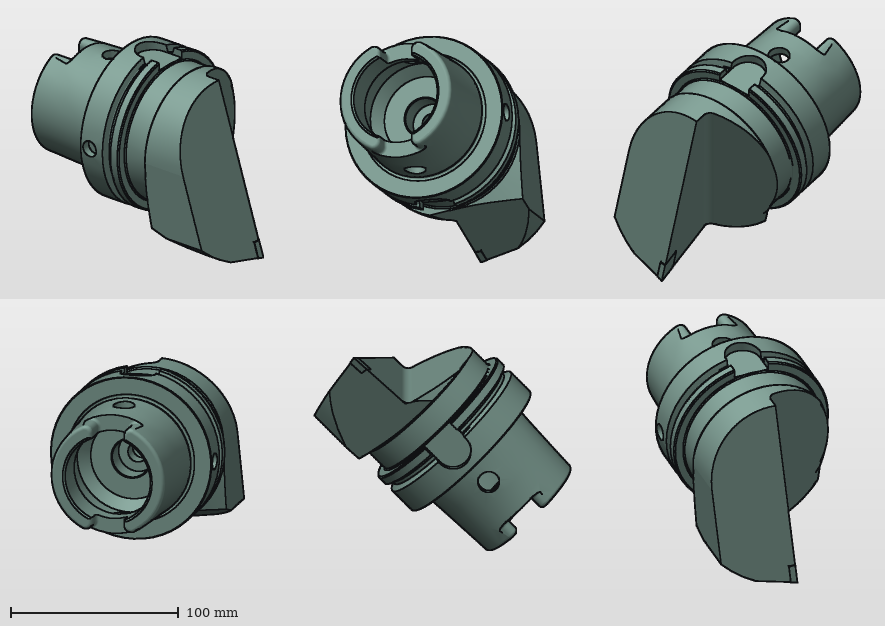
import cadquery as cq
import math

shank_length = 50.0
shank_radius = 37.75
shank_taper = 1 / 20
shank_end_round = 2.2

shank_land = 2.6
undercut_x = -0.2
undercut_centre_radius = 38.2
undercut_round = 1.3

flange_radius = 50.0
flange_width = 29.0
flange_front_chamfer = 0.4
flange_back_chamfer = 0.8
groove_centre = 20.0
groove_floor_radius = 46.0
groove_floor_width = 3.4
groove_mouth_width = 6.2
groove_floor_round = 0.8

neck_radius = 43.5
neck_round = 0.8
head_start = 45.0
neck_flare_length = 0.9
blade_half = 44.5
blade_sweep_radius = 63.2
root_radius = 49.0
root_slope = math.radians(5)

nose_x = 99.9
nose_z = -63.0
nose_radius = 0.4
insert_angle = 55.0
clearance_angle = 7.0
insert_circle = 9.525
insert_thickness = 3.97
flank_reach = 150.0
seat_setback = 0.3

edge_lean = math.radians((90 - insert_angle) / 2)
half_angle = math.radians(insert_angle / 2)

relief_wedge_start = 43.4
relief_wedge_angle = math.radians(15)
relief_wedge_round = 5.0

bore_radius = 26.5
mouth_radius = 27.8
mouth_chamfer_length = 0.9
bore_length = 20.0
chamber_radius = 31.5
chamber_floor_x = 0.0
chamber_floor_radius = 25.0
thread_radius = 11.8
thread_chamfer = 0.5
thread_depth = 14.0
coolant_radius = 6.0
coolant_depth = 10.0
coolant_tip_angle = math.radians(59)

slot_half_width = 9.9
slot_shoulder_z = 32.0
slot_corner_radius = 4.0
slot_shoulder_slope = math.radians(14)
slot_end_round = 1.8
upper_slot_depth = 15.3
lower_slot_depth = 9.9

cross_hole_radius = 6.4
cross_hole_x = -14.8

keyway_width = 21.7
keyway_start = 4.8
keyway_floor = 44.0
chip_hole_radius = 5.0
chip_hole_x = 7.1
chip_hole_depth = 5.5


PICK = 0.01


def turned(points):
    """Solid of revolution about X from an (x, radius) outline."""
    return cq.Workplane("XY").polyline(points).close().revolve(360, (0, 0, 0), (1, 0, 0))


def block(x_range, y_range, z_range):
    """Axis-aligned box between the given limits."""
    size = [high - low for low, high in (x_range, y_range, z_range)]
    corner = [low for low, high in (x_range, y_range, z_range)]
    return cq.Workplane("XY").box(*size, centered=False).translate(tuple(corner))


def shank():
    """Tapered shank with its two drive slots of unequal depth."""
    end_radius = shank_radius - shank_taper * shank_length
    land_radius = shank_radius - shank_taper * shank_land
    body = turned([
        (-shank_length, 0),
        (-shank_length, end_radius),
        (-shank_land, land_radius),
        (0, land_radius),
        (0, 0),
    ])
    body = body.cut(drive_slot(upper_slot_depth))
    body = body.cut(drive_slot(lower_slot_depth).mirror("XY"))
    return body.faces("<X").edges().fillet(shank_end_round)


def drive_slot(depth):
    """Cutter for one slot: upright walls that round over into shoulders falling away outwards."""
    corner_y = slot_half_width + slot_corner_radius
    corner_z = slot_shoulder_z - slot_corner_radius
    round_end_y = corner_y + slot_corner_radius * math.sin(slot_shoulder_slope)
    round_end_z = corner_z + slot_corner_radius * math.cos(slot_shoulder_slope)
    outer = shank_radius + slot_corner_radius
    outer_z = round_end_z - (outer - round_end_y) * math.tan(slot_shoulder_slope)
    mid = slot_corner_radius * math.sqrt(0.5)
    half = (
        cq.Workplane("YZ", origin=(-shank_length, 0, 0))
        .lineTo(slot_half_width, 0)
        .lineTo(slot_half_width, corner_z)
        .threePointArc((corner_y - mid, corner_z + mid), (round_end_y, round_end_z))
        .lineTo(outer, outer_z)
        .lineTo(outer, outer)
        .lineTo(0, outer)
        .close()
        .extrude(depth)
    )
    return half.union(half.mirror("XZ")).faces(">X").edges().fillet(slot_end_round)


def flange_and_neck():
    """Gripper flange with its groove, and the neck up to the head."""
    floor_half = groove_floor_width / 2
    mouth_half = groove_mouth_width / 2
    body = turned([
        (0, 0),
        (0, flange_radius - flange_front_chamfer),
        (flange_front_chamfer, flange_radius),
        (groove_centre - mouth_half, flange_radius),
        (groove_centre - floor_half, groove_floor_radius),
        (groove_centre + floor_half, groove_floor_radius),
        (groove_centre + mouth_half, flange_radius),
        (flange_width - flange_back_chamfer, flange_radius),
        (flange_width, flange_radius - flange_back_chamfer),
        (flange_width, neck_radius),
        (head_start - neck_flare_length, neck_radius),
        (head_start, blade_half),
        (head_start, 0),
    ])
    for floor_x in (groove_centre - floor_half, groove_centre + floor_half):
        body = body.edges(edge_at(floor_x, groove_floor_radius)).fillet(groove_floor_round)
    return body.edges(edge_at(flange_width, neck_radius)).fillet(neck_round)


def edge_at(x, radius):
    """Selects the turned edge of the given radius at x."""
    return cq.selectors.BoxSelector(
        (x - PICK, -radius - PICK, -radius - PICK),
        (x + PICK, radius + PICK, radius + PICK),
        boundingbox=True,
    )


def undercut():
    """Ring of round section in the corner between shank and flange face."""
    return (
        cq.Workplane("XY")
        .moveTo(undercut_x, undercut_centre_radius)
        .circle(undercut_round)
        .revolve(360, (0, 0, 0), (1, 0, 0))
    )


def corner_prism(side, depth, setback):
    """Rhombus with its sharp corner at the cutting corner, extruded from Y = 0 to Y = -depth.

    The sides recede by the clearance angle towards -Y and spread by it towards +Y.
    """
    tip_offset = (nose_radius - setback) / math.sin(half_angle) * math.sqrt(0.5)
    tip_x = nose_x - nose_radius + tip_offset
    tip_z = nose_z + nose_radius - tip_offset
    run = side * math.cos(edge_lean)
    rise = side * math.sin(edge_lean)
    return (
        cq.Workplane("XZ")
        .polyline([
            (tip_x, tip_z),
            (tip_x - rise, tip_z + run),
            (tip_x - rise - run, tip_z + run + rise),
            (tip_x - run, tip_z + rise),
        ])
        .close()
        .extrude(depth, taper=math.copysign(clearance_angle, depth))
    )


def head_side(y_range, lower_radius, cone_slope):
    """Head on one side of the rake plane: round above, widened to lower_radius below."""
    lengths = (head_start, nose_x)
    upper = turned([(head_start, 0), (head_start, blade_half), (nose_x, blade_half), (nose_x, 0)])
    upper = upper.intersect(block(lengths, y_range, (-blade_half, blade_half)))
    cone_length = (lower_radius - blade_half) * math.tan(cone_slope)
    lower = turned([
        (head_start, 0),
        (head_start, blade_half),
        (head_start + cone_length, lower_radius),
        (nose_x, lower_radius),
        (nose_x, 0),
    ])
    lower = lower.intersect(block(lengths, y_range, (-lower_radius, 0)))
    return upper.union(lower)


def head():
    """Blade below the rake plane and the root beside it, both bounded by the two flank planes."""
    blade = head_side((-blade_half, 0), blade_sweep_radius, edge_lean)
    blade = blade.intersect(corner_prism(flank_reach, blade_half, seat_setback))
    root = head_side((0, blade_half), root_radius, root_slope)
    root = root.intersect(corner_prism(flank_reach, -blade_half, seat_setback))
    return blade.union(root.cut(chip_relief()))


def chip_relief():
    """Wedge removed in front of the rake plane, rounded where it meets that plane."""
    foot_x = relief_wedge_start + neck_radius * math.tan(relief_wedge_angle)
    top_y = 2 * neck_radius
    top_x = foot_x - top_y * math.tan(relief_wedge_angle)
    return (
        cq.Workplane("XY", origin=(0, 0, -top_y))
        .polyline([(foot_x, 0), (2 * nose_x, 0), (2 * nose_x, top_y), (top_x, top_y)])
        .close()
        .extrude(2 * top_y)
        .edges(cq.selectors.NearestToPointSelector((foot_x, 0, 0)))
        .fillet(relief_wedge_round)
    )


def bore():
    """Stepped hollow: chamfered mouth, clamping chamber, coolant tube thread and a drilled coolant hole."""
    mouth = -shank_length
    bore_end = mouth + bore_length
    cone_end = chamber_floor_x - (chamber_radius - chamber_floor_radius)
    thread_end = chamber_floor_x + thread_depth
    coolant_end = thread_end + coolant_depth
    return turned([
        (mouth, 0),
        (mouth, mouth_radius),
        (mouth + mouth_chamfer_length, bore_radius),
        (bore_end, bore_radius),
        (bore_end, chamber_radius),
        (cone_end, chamber_radius),
        (chamber_floor_x, chamber_floor_radius),
        (chamber_floor_x, thread_radius + thread_chamfer),
        (chamber_floor_x + thread_chamfer, thread_radius),
        (thread_end, thread_radius),
        (thread_end, coolant_radius),
        (coolant_end, coolant_radius),
        (coolant_end + coolant_radius / math.tan(coolant_tip_angle), 0),
    ])


def keyway():
    """Round-ended keyway, open towards the neck."""
    half = keyway_width / 2
    cutter_end = flange_width + half
    length = cutter_end - keyway_start + half
    slot = (
        cq.Workplane("XY", origin=(keyway_start + length / 2, 0, keyway_floor))
        .slot2D(length, keyway_width)
        .extrude(flange_radius - keyway_floor)
    )
    return slot.intersect(block((0, flange_width), (-half, half), (keyway_floor, flange_radius)))


def holder_body(seat):
    """Holder with its holes and keyways and a pocket that fits the given seat solid."""
    body = flange_and_neck().union(shank()).cut(chip_relief()).union(head())
    body = body.cut(undercut()).cut(bore())
    body = body.cut(keyway()).cut(keyway().mirror("XY"))
    cross_hole = (
        cq.Workplane("XY", origin=(cross_hole_x, 0, -shank_radius))
        .circle(cross_hole_radius)
        .extrude(2 * shank_radius)
    )
    chip_hole = (
        cq.Workplane("XZ", origin=(chip_hole_x, chip_hole_depth - flange_radius, 0))
        .circle(chip_hole_radius)
        .extrude(chip_hole_depth)
    )
    return body.cut(cross_hole).cut(chip_hole).cut(seat)


def cutting_insert():
    """Rhombic insert with its rake face on Y = 0."""
    side = insert_circle / math.sin(2 * half_angle)
    prism = corner_prism(side, insert_thickness, 0)
    nose = cq.selectors.NearestToPointSelector((nose_x, -insert_thickness / 2, nose_z))
    return prism.edges(nose).fillet(nose_radius)


insert = cutting_insert()
holder = holder_body(insert)
result = cq.Compound.makeCompound([holder.val(), insert.val()])